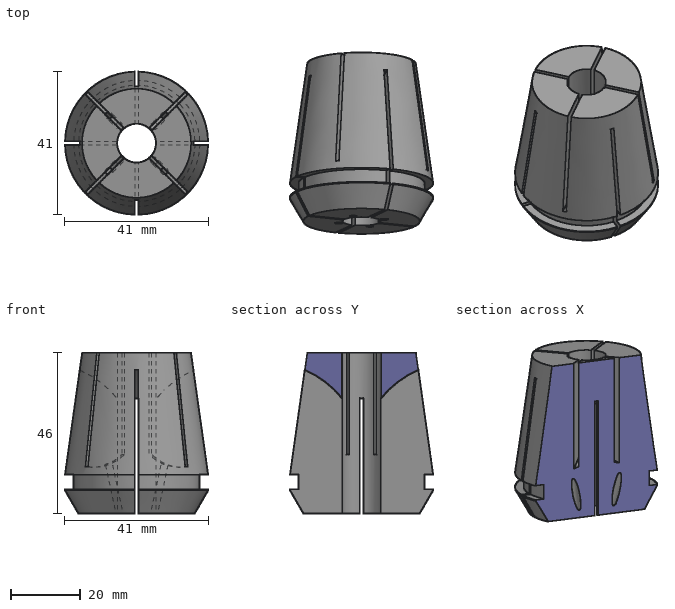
import cadquery as cq
import math

LENGTH = 46.0
MAX_RADIUS = 41.0 / 2
BORE_RADIUS = 5.5

NOSE_ANGLE = 30.0
NOSE_TOP = 7.0
RIM_HEIGHT = 0.3
NOSE_CONE_HEIGHT = NOSE_TOP - RIM_HEIGHT
NOSE_RADIUS = MAX_RADIUS - NOSE_CONE_HEIGHT * math.tan(math.radians(NOSE_ANGLE))

GROOVE_RADIUS = 18.05
GROOVE_TOP = 11.15

TAPER_ANGLE = 8.0
TOP_RADIUS = MAX_RADIUS - (LENGTH - GROOVE_TOP) * math.tan(math.radians(TAPER_ANGLE))

SLOT_COUNT = 4
SLOT_WIDTH = 1.0
SLOT_REACH = MAX_RADIUS + 2.3
BORE_OVERLAP = 0.9
BOTTOM_SLOT_ANGLE = 0.0
TOP_SLOT_ANGLE = 45.0

BOTTOM_BLADE_RADIUS = 28.5
BOTTOM_SLOT_INNER_Z = 32.9
BOTTOM_SLOT_OUTER_Z = 41.1

TOP_BLADE_RADIUS = 22.1
TOP_BLADE_DISTANCE = 17.65
TOP_SLOT_FLOOR = 13.3

HOLE_DIAMETER = 2.0
HOLE_DISTANCE = 11.25
HOLE_LIFT = 0.05
HOLE_OVERSHOOT = 2.3


def around_axis(tool, first_angle):
    """Copies of a tool lying along +X, spread evenly about the Z axis."""
    step = 360.0 / SLOT_COUNT
    return [tool.rotate((0, 0, 0), (0, 0, 1), first_angle + i * step) for i in range(SLOT_COUNT)]


def cut_all(body, tools):
    for tool in tools:
        body = body.cut(tool)
    return body


def make_body():
    """The revolved body with its bore."""
    return (
        cq.Workplane("XZ")
        .moveTo(BORE_RADIUS, 0)
        .lineTo(NOSE_RADIUS, 0)
        .lineTo(MAX_RADIUS, NOSE_CONE_HEIGHT)
        .lineTo(MAX_RADIUS, NOSE_TOP)
        .lineTo(GROOVE_RADIUS, NOSE_TOP)
        .lineTo(GROOVE_RADIUS, GROOVE_TOP)
        .lineTo(MAX_RADIUS, GROOVE_TOP)
        .lineTo(TOP_RADIUS, LENGTH)
        .lineTo(BORE_RADIUS, LENGTH)
        .close()
        .revolve(360, (0, 0, 0), (0, 1, 0))
    )


def make_bottom_slot():
    """A slot open at the bottom, with a roof that drops along the blade's arc towards the bore."""
    outer_x = MAX_RADIUS - (BOTTOM_SLOT_OUTER_Z - GROOVE_TOP) * math.tan(math.radians(TAPER_ANGLE))
    run = outer_x - BORE_RADIUS
    rise = BOTTOM_SLOT_OUTER_Z - BOTTOM_SLOT_INNER_Z
    chord = math.hypot(run, rise)
    mid_to_centre = math.sqrt(BOTTOM_BLADE_RADIUS**2 - (chord / 2) ** 2)
    blade_x = (BORE_RADIUS + outer_x) / 2 + mid_to_centre * rise / chord
    blade_z = (BOTTOM_SLOT_INNER_Z + BOTTOM_SLOT_OUTER_Z) / 2 - mid_to_centre * run / chord

    def roof(x):
        return x, blade_z + math.sqrt(BOTTOM_BLADE_RADIUS**2 - (x - blade_x) ** 2)

    start_x = BORE_RADIUS - BORE_OVERLAP
    return (
        cq.Workplane("XZ")
        .moveTo(start_x, 0)
        .lineTo(*roof(start_x))
        .threePointArc(roof((start_x + SLOT_REACH) / 2), roof(SLOT_REACH))
        .lineTo(SLOT_REACH, 0)
        .close()
        .extrude(SLOT_WIDTH / 2, both=True)
    )


def top_floor(x):
    """Point on the curved floor of a top slot at a distance x from the axis."""
    drop = math.sqrt(TOP_BLADE_RADIUS**2 - (x - TOP_BLADE_DISTANCE) ** 2)
    return x, TOP_SLOT_FLOOR + TOP_BLADE_RADIUS - drop


def make_top_slot():
    """A slot open at the top, with a floor that climbs along the blade's arc towards the bore."""
    start_x = BORE_RADIUS - BORE_OVERLAP
    return (
        cq.Workplane("XZ")
        .moveTo(start_x, LENGTH)
        .lineTo(*top_floor(start_x))
        .threePointArc(top_floor((start_x + SLOT_REACH) / 2), top_floor(SLOT_REACH))
        .lineTo(SLOT_REACH, LENGTH)
        .close()
        .extrude(SLOT_WIDTH / 2, both=True)
    )


def make_hole():
    """A slanted hole that starts just above the slot floor and leaves through the bottom face."""
    floor_x, floor_z = top_floor(HOLE_DISTANCE)
    tilt = math.asin((TOP_BLADE_DISTANCE - HOLE_DISTANCE) / TOP_BLADE_RADIUS)
    down = cq.Vector(-math.sin(tilt), 0, -math.cos(tilt))
    start = cq.Vector(floor_x, 0, floor_z) - down * HOLE_LIFT
    depth = floor_z / math.cos(tilt) + HOLE_OVERSHOOT
    return cq.Workplane(cq.Solid.makeCylinder(HOLE_DIAMETER / 2, depth, start, down))


result = make_body()
result = cut_all(result, around_axis(make_bottom_slot(), BOTTOM_SLOT_ANGLE))
result = cut_all(result, around_axis(make_top_slot(), TOP_SLOT_ANGLE))
result = cut_all(result, around_axis(make_hole(), TOP_SLOT_ANGLE))